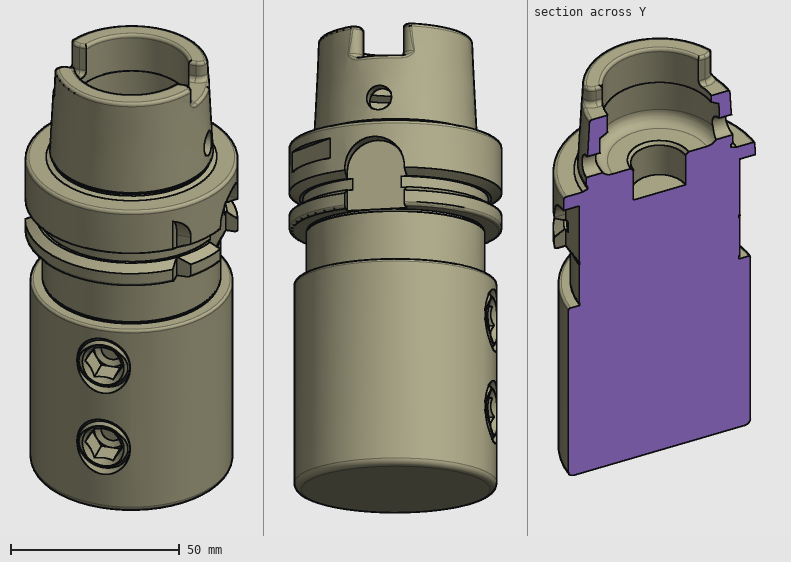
import cadquery as cq
import math


taper_top = 32.0
gauge_height = 6.3
gauge_radius = 24.0
taper_slope = 1 / 20
relief_top = 2.1
relief_depth = 0.6
relief_cone_height = 0.9
relief_bottom = 0.6
relief_mouth_radius = 25.3
rim_round = 1.0

lip_radius = 17.0
chamber_radius = 19.5
shoulder_bottom = 18.0
shoulder_angle = 60.0
chamber_floor = 3.5
chamber_floor_round = 4.0
coolant_radius = 8.5
coolant_depth = 12.0
coolant_chamfer = 1.0
side_hole_diameter = 7.5
side_hole_height = 8.8

slot_width = 12.54
slot_mouth_round = 3.0
slot_mouth_tangent_height = 22.0
slot_floor_round = 1.5
left_slot_floor = 22.0
right_slot_floor = 26.0

flange_radius = 31.5
flange_bottom = -26.0
flange_round = 1.0
groove_center = -18.0
groove_width = 7.0
groove_shoulder_radius = 28.4
groove_radius = 27.5
groove_flank_angle = 30.0

keyway_width = 18.0
keyway_floor = 26.5
keyway_arch_center = -14.0
notch_wall = 20.0
notch_arch_radius = 8.0
notch_arch_center = -12.0
chip_flat_distance = 29.8
chip_flat_top = -4.0
chip_flat_height = 6.0
chip_flat_angle = 135.0

neck_radius = 26.5
neck_relief_radius = 26.2
neck_relief_width = 0.7
body_radius = 30.0
body_top = -42.0
body_bottom = -105.0
body_top_round = 0.8
body_bottom_round = 2.0

screw_heights = (-55.0, -83.0)
screw_radius = 8.0
screw_seat_radius = 9.4
screw_recess = 0.4
screw_chamfer = 1.0
socket_across_flats = 10.0
socket_mouth_radius = 6.7
socket_depth = 8.0
socket_tip_radius = 3.2
socket_tip_angle = 30.0

clearance = 10.0


def taper_radius(z):
    return gauge_radius - (z - gauge_height) * taper_slope


def outer_body():
    rim_face_radius = taper_radius(taper_top) - rim_round
    relief_radius = taper_radius(relief_top) - relief_depth
    groove_flank = (flange_radius - groove_shoulder_radius) * math.tan(math.radians(groove_flank_angle))
    groove_top = groove_center + groove_width / 2
    groove_end = groove_center - groove_width / 2
    outline = (
        cq.Workplane("XZ")
        .moveTo(0, taper_top)
        .lineTo(rim_face_radius, taper_top)
        .radiusArc((taper_radius(taper_top - rim_round), taper_top - rim_round), rim_round)
        .lineTo(taper_radius(relief_top), relief_top)
        .lineTo(relief_radius, relief_top - relief_cone_height)
        .lineTo(relief_radius, relief_bottom)
        .lineTo(relief_mouth_radius, 0)
        .lineTo(flange_radius - flange_round, 0)
        .radiusArc((flange_radius, -flange_round), flange_round)
        .lineTo(flange_radius, groove_top)
        .lineTo(groove_shoulder_radius, groove_top - groove_flank)
        .lineTo(groove_radius, groove_top - groove_flank)
        .lineTo(groove_radius, groove_end + groove_flank)
        .lineTo(groove_shoulder_radius, groove_end + groove_flank)
        .lineTo(flange_radius, groove_end)
        .lineTo(flange_radius, flange_bottom + flange_round)
        .radiusArc((flange_radius - flange_round, flange_bottom), flange_round)
        .lineTo(neck_relief_radius, flange_bottom)
        .lineTo(neck_relief_radius, flange_bottom - neck_relief_width)
        .lineTo(neck_radius, flange_bottom - neck_relief_width)
        .lineTo(neck_radius, body_top + neck_relief_width)
        .lineTo(neck_relief_radius, body_top + neck_relief_width)
        .lineTo(neck_relief_radius, body_top)
        .lineTo(body_radius - body_top_round, body_top)
        .radiusArc((body_radius, body_top - body_top_round), body_top_round)
        .lineTo(body_radius, body_bottom + body_bottom_round)
        .radiusArc((body_radius - body_bottom_round, body_bottom), body_bottom_round)
        .lineTo(0, body_bottom)
        .close()
    )
    return outline.revolve(360, (0, 0, 0), (0, 1, 0))


def taper_bore():
    shoulder_height = (chamber_radius - lip_radius) / math.tan(math.radians(shoulder_angle))
    coolant_floor = chamber_floor - coolant_depth
    outline = (
        cq.Workplane("XZ")
        .moveTo(0, taper_top)
        .lineTo(lip_radius, taper_top)
        .lineTo(lip_radius, shoulder_bottom + shoulder_height)
        .lineTo(chamber_radius, shoulder_bottom)
        .lineTo(chamber_radius, chamber_floor + chamber_floor_round)
        .radiusArc((chamber_radius - chamber_floor_round, chamber_floor), chamber_floor_round)
        .lineTo(coolant_radius + coolant_chamfer, chamber_floor)
        .lineTo(coolant_radius, chamber_floor - coolant_chamfer)
        .lineTo(coolant_radius, coolant_floor)
        .lineTo(0, coolant_floor)
        .close()
    )
    return outline.revolve(360, (0, 0, 0), (0, 1, 0))


def side_holes():
    return (
        cq.Workplane("YZ")
        .center(0, side_hole_height)
        .circle(side_hole_diameter / 2)
        .extrude(gauge_radius + clearance, both=True)
    )


def drive_slot(floor, side):
    """Slot cutter toward side * X whose flanks roll off tangentially into the outer rim."""
    rim_radius = taper_radius(slot_mouth_tangent_height)
    half_width = slot_width / 2
    arc_y = half_width + slot_mouth_round
    arc_x = math.sqrt((rim_radius - slot_mouth_round) ** 2 - arc_y**2)
    mouth_angle = math.atan2(arc_y, arc_x)

    mid_angle = (mouth_angle - math.pi / 2) / 2
    mid_x = arc_x + slot_mouth_round * math.cos(mid_angle)
    mid_y = arc_y + slot_mouth_round * math.sin(mid_angle)
    mouth_x = rim_radius * math.cos(mouth_angle)
    mouth_y = rim_radius * math.sin(mouth_angle)
    outer_x = mouth_x - clearance * math.sin(mouth_angle)
    outer_y = mouth_y + clearance * math.cos(mouth_angle)
    far_x = rim_radius + clearance
    cutter = (
        cq.Workplane("XY", origin=(0, 0, floor))
        .moveTo(0, -half_width)
        .lineTo(arc_x, -half_width)
        .threePointArc((mid_x, -mid_y), (mouth_x, -mouth_y))
        .lineTo(outer_x, -outer_y)
        .lineTo(far_x, -outer_y)
        .lineTo(far_x, outer_y)
        .lineTo(outer_x, outer_y)
        .lineTo(mouth_x, mouth_y)
        .threePointArc((mid_x, mid_y), (arc_x, half_width))
        .lineTo(0, half_width)
        .close()
        .extrude(taper_top + clearance - floor)
        .faces("<Z")
        .edges()
        .fillet(slot_floor_round)
    )
    if side < 0:
        cutter = cutter.rotate((0, 0, 0), (0, 0, 1), 180)
    return cutter


def keyway(side):
    half_width = keyway_width / 2
    return (
        cq.Workplane("YZ", origin=(side * keyway_floor, 0, 0))
        .moveTo(-half_width, flange_bottom)
        .lineTo(-half_width, keyway_arch_center)
        .threePointArc((0, keyway_arch_center + half_width), (half_width, keyway_arch_center))
        .lineTo(half_width, flange_bottom)
        .close()
        .extrude(side * clearance)
    )


def corner_notch():
    """Arched notch in the flange on the +X -Y diagonal."""
    arch_y = -notch_wall - notch_arch_radius
    return (
        cq.Workplane("YZ", origin=(notch_wall, 0, 0))
        .moveTo(-notch_wall, flange_bottom)
        .lineTo(-notch_wall, notch_arch_center)
        .radiusArc((arch_y, notch_arch_center + notch_arch_radius), -notch_arch_radius)
        .lineTo(-flange_radius - clearance, notch_arch_center + notch_arch_radius)
        .lineTo(-flange_radius - clearance, flange_bottom)
        .close()
        .extrude(flange_radius)
    )


def chip_flat():
    return (
        cq.Workplane("XY")
        .box(clearance, 2 * flange_radius, chip_flat_height, centered=(False, True, False))
        .translate((chip_flat_distance, 0, chip_flat_top - chip_flat_height))
        .rotate((0, 0, 0), (0, 0, 1), chip_flat_angle)
    )


def screw_recess_cut(z):
    """Everything removed around one screw: countersink, screw edge chamfer and hex socket."""
    face = -body_radius + screw_recess
    seat_depth = screw_seat_radius - screw_radius
    seat = (
        cq.Workplane("XY")
        .moveTo(0, -body_radius - clearance)
        .lineTo(screw_seat_radius, -body_radius - clearance)
        .lineTo(screw_seat_radius, -body_radius)
        .lineTo(screw_radius, -body_radius + seat_depth)
        .lineTo(screw_radius - screw_chamfer, face)
        .lineTo(0, face)
        .close()
        .revolve(360, (0, 0, 0), (0, 1, 0))
    )
    socket_floor = face + socket_depth
    corner_radius = socket_across_flats / 2 / math.cos(math.pi / 6)
    hexagon = (
        cq.Workplane("XZ", origin=(0, face, 0))
        .polygon(6, 2 * corner_radius)
        .extrude(-socket_depth)
    )
    tip_depth = (socket_across_flats / 2 - socket_tip_radius) * math.tan(math.radians(socket_tip_angle))
    mouth = (
        cq.Workplane("XY")
        .moveTo(0, face)
        .lineTo(socket_mouth_radius, face)
        .lineTo(0, face + socket_mouth_radius)
        .close()
        .revolve(360, (0, 0, 0), (0, 1, 0))
    )
    tip = (
        cq.Workplane("XY")
        .moveTo(0, socket_floor)
        .lineTo(socket_across_flats / 2, socket_floor)
        .lineTo(socket_tip_radius, socket_floor + tip_depth)
        .lineTo(0, socket_floor + tip_depth)
        .close()
        .revolve(360, (0, 0, 0), (0, 1, 0))
    )
    return seat.union(hexagon).union(mouth).union(tip).translate((0, 0, z))


def round_rim_edges(part):
    """Round the bore and slot edges of the rim face; its outer edge is already round."""
    inner_edges = part.faces(">Z").edges().filter(
        lambda edge: edge.geomType() != "CIRCLE" or edge.radius() <= lip_radius
    )
    return inner_edges.fillet(rim_round)


result = outer_body().cut(taper_bore())
result = result.cut(drive_slot(left_slot_floor, -1))
result = result.cut(drive_slot(right_slot_floor, 1))
result = round_rim_edges(result)
result = result.cut(side_holes())
for side in (-1, 1):
    result = result.cut(keyway(side))
result = result.cut(corner_notch())
result = result.cut(chip_flat())
for height in screw_heights:
    result = result.cut(screw_recess_cut(height))